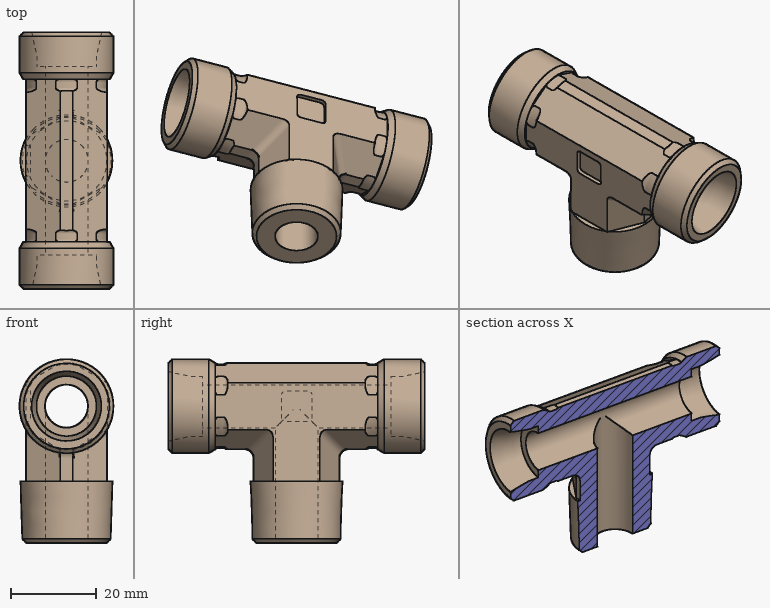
import cadquery as cq
import math


across_flats = 19.0
half_flats = across_flats / 2
hex_corner = half_flats / math.cos(math.radians(30))
side_edge = hex_corner / 2
clipped_corner = 10.1
junction_fillet = 2.0
tolerance = 1e-6

run_half_length = 30.0
collar_radius = 22.0 / 2
collar_chamfer = 1.0
collar_length = 11.0
collar_cylinder_length = 9.5
collar_back_angle = 30.0
collar_inner_face = run_half_length - collar_length
collar_cone_drop = (collar_length - collar_cylinder_length) * math.tan(math.radians(collar_back_angle))
collar_back_radius = collar_radius - collar_cone_drop

groove_radius = 9.85
groove_fillet = 1.0
groove_floor_start = 17.0
groove_floor_end = 18.4

branch_end = -32.0
branch_collar_top = -17.5
branch_rim_height = 0.5
branch_radius = 21.52 / 2
branch_chamfer = 1.0
branch_taper = 1 / 16
branch_tapered_length = branch_collar_top - branch_rim_height - (branch_end + branch_chamfer)
branch_tip_radius = branch_radius - branch_tapered_length * branch_taper / 2

bore_diameter = 10.0
socket_radius = 14.0 / 2
socket_depth = 8.0
socket_mouth_radius = 16.3 / 2
socket_half_angle = 12.0
socket_cone_depth = (socket_mouth_radius - socket_radius) / math.tan(math.radians(socket_half_angle))

recess_size = 7.15
recess_corner = 1.0
recess_depth = 1.0


def hexagon(plane):
    """Hexagon with flats facing X and the other two corners clipped flat."""
    clip_half_width = (hex_corner - clipped_corner) * math.tan(math.radians(60))
    return cq.Workplane(plane).polyline([
        (half_flats, -side_edge),
        (half_flats, side_edge),
        (clip_half_width, clipped_corner),
        (-clip_half_width, clipped_corner),
        (-half_flats, side_edge),
        (-half_flats, -side_edge),
        (-clip_half_width, -clipped_corner),
        (clip_half_width, -clipped_corner),
    ]).close()


def revolve_about_y(profile):
    return profile.close().revolve(360, (0, 0, 0), (0, 1, 0))


def both_ends(end):
    """The +Y feature together with its mirror image at -Y."""
    return end.union(end.mirror("XZ"))


def make_body():
    run = hexagon("XZ").extrude(collar_inner_face, both=True)
    branch = hexagon("XY").extrude(branch_collar_top)
    joined = run.union(branch)
    concave = [
        edge for edge in joined.edges().vals()
        if abs(edge.Center().y) > tolerance
        and abs(abs(edge.Center().y) + edge.Center().z) < tolerance
    ]
    return joined.newObject(concave).fillet(junction_fillet)


def make_groove():
    """Ring-shaped cutter: flat floor with a concave fillet up each side."""
    outer = hex_corner + groove_fillet
    wall_top = groove_radius + groove_fillet
    diagonal = groove_fillet * math.sqrt(0.5)
    arc_mid_radius = wall_top - diagonal
    profile = (
        cq.Workplane("XY")
        .moveTo(outer, groove_floor_start - groove_fillet)
        .lineTo(wall_top, groove_floor_start - groove_fillet)
        .threePointArc(
            (arc_mid_radius, groove_floor_start - diagonal),
            (groove_radius, groove_floor_start),
        )
        .lineTo(groove_radius, groove_floor_end)
        .threePointArc(
            (arc_mid_radius, groove_floor_end + diagonal),
            (wall_top, groove_floor_end + groove_fillet),
        )
        .lineTo(outer, groove_floor_end + groove_fillet)
    )
    return revolve_about_y(profile)


def make_collar():
    profile = cq.Workplane("XY").polyline([
        (0, collar_inner_face),
        (collar_back_radius, collar_inner_face),
        (collar_radius, run_half_length - collar_cylinder_length),
        (collar_radius, run_half_length - collar_chamfer),
        (collar_radius - collar_chamfer, run_half_length),
        (0, run_half_length),
    ])
    return revolve_about_y(profile)


def make_branch_collar():
    """Tapered spigot with a short straight rim on top and a chamfered tip."""
    return (
        cq.Workplane("XZ")
        .polyline([
            (0, branch_collar_top),
            (branch_radius, branch_collar_top),
            (branch_radius, branch_collar_top - branch_rim_height),
            (branch_tip_radius, branch_end + branch_chamfer),
            (branch_tip_radius - branch_chamfer, branch_end),
            (0, branch_end),
        ])
        .close()
        .revolve(360, (0, 0, 0), (0, 1, 0))
    )


def make_socket():
    """Tube socket: 24 degree cone at the mouth, then a straight seat."""
    profile = cq.Workplane("XY").polyline([
        (0, run_half_length - socket_depth),
        (socket_radius, run_half_length - socket_depth),
        (socket_radius, run_half_length - socket_cone_depth),
        (socket_mouth_radius, run_half_length),
        (0, run_half_length),
    ])
    return revolve_about_y(profile)


def make_bores():
    run_bore = cq.Workplane("XZ").circle(bore_diameter / 2).extrude(run_half_length, both=True)
    branch_bore = cq.Workplane("XY").circle(bore_diameter / 2).extrude(branch_end)
    return run_bore.union(branch_bore)


def make_recess():
    return (
        cq.Workplane("YZ", origin=(-half_flats, 0, 0))
        .rect(recess_size, recess_size)
        .extrude(recess_depth)
        .edges("|X")
        .fillet(recess_corner)
    )


result = (
    make_body()
    .cut(both_ends(make_groove()))
    .union(both_ends(make_collar()))
    .union(make_branch_collar())
    .cut(make_bores())
    .cut(both_ends(make_socket()))
    .cut(make_recess())
)